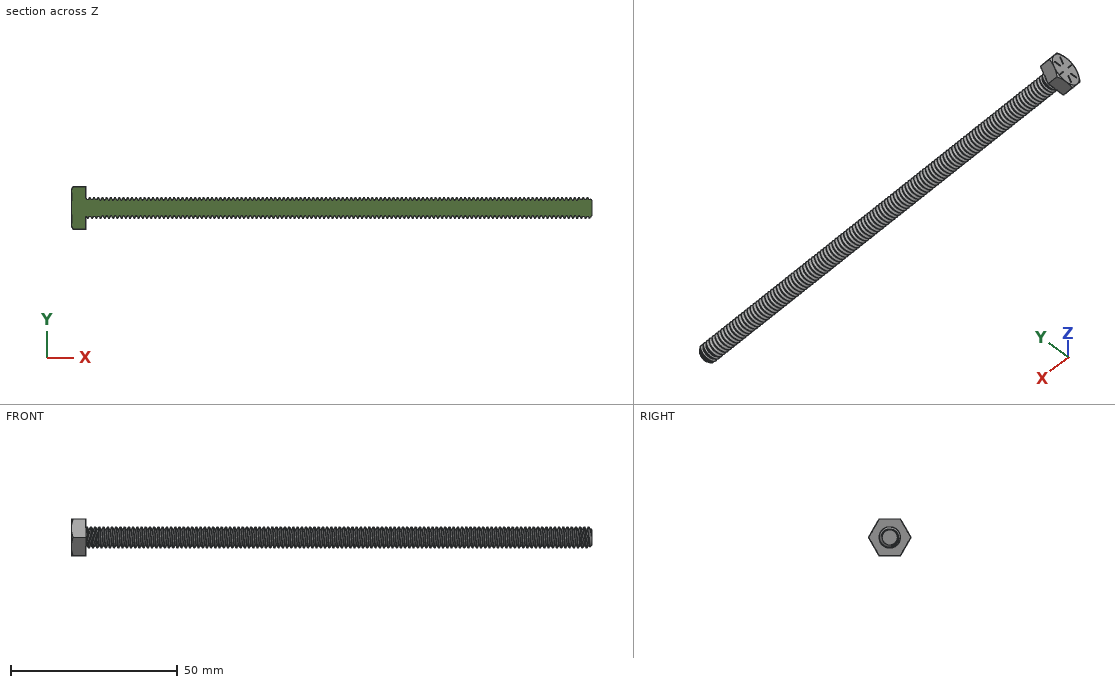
import cadquery as cq
import math

total_length = 156.8
head_height = 4.4
across_flats = 11.1

top_face_diameter = across_flats
head_chamfer_angle = 30.0

mark_count = 6
mark_inner_radius = 2.2
mark_outer_radius = 4.5
mark_width = 0.2
mark_depth = 0.2

major_diameter = 6.5
pitch = 1.27
flank_angle = 30.0
crest_width = pitch / 8
root_width = pitch / 12
thread_phase = 0.17
tip_chamfer = 1.0

core_diameter = 5.2
core_length = 3 * pitch

corner_radius = across_flats / 2 / math.cos(math.pi / 6)
major_radius = major_diameter / 2
core_radius = core_diameter / 2
flank_width = (pitch - crest_width - root_width) / 2
root_radius = major_radius - flank_width / math.tan(math.radians(flank_angle))

overlap = 0.8


def turned_body(outline):
    """Solid of revolution about the X axis from (x, radius) points."""
    return cq.Workplane("XY").polyline(outline).close().revolve(360, (0, 0, 0), (1, 0, 0))


def make_head():
    """Hexagonal head with corners on +Y and -Y, chamfered towards its top face."""
    hexagon = cq.Workplane("YZ").polygon(6, 2 * corner_radius).extrude(head_height)
    top_radius = top_face_diameter / 2
    chamfer_depth = (corner_radius - top_radius) * math.tan(math.radians(head_chamfer_angle))
    envelope = turned_body([
        (0, 0),
        (0, top_radius),
        (chamfer_depth, corner_radius),
        (head_height, corner_radius),
        (head_height, 0),
    ])
    return hexagon.intersect(envelope)


def make_grade_marks():
    """Thin radial slots evenly spaced around the top of the head."""
    middle_radius = (mark_inner_radius + mark_outer_radius) / 2
    return (
        cq.Workplane("YZ")
        .polarArray(middle_radius, 0, 360, mark_count)
        .rect(mark_outer_radius - mark_inner_radius, mark_width)
        .extrude(mark_depth)
    )


def helix_edge(radius, axial_start):
    """One right-handed turn around the Z axis."""
    turn = cq.Wire.makeHelix(pitch, pitch, radius)
    return turn.translate(cq.Vector(0, 0, axial_start)).Edges()[0]


def make_threaded_rod(turn_count):
    """Rod along Z whose thread is a stack of one-turn helical strips."""
    profile = [
        (root_radius, 0),
        (root_radius, root_width),
        (major_radius, root_width + flank_width),
        (major_radius, root_width + flank_width + crest_width),
        (root_radius, pitch),
    ]
    faces = []
    for turn in range(turn_count):
        helices = [helix_edge(radius, turn * pitch + axial) for radius, axial in profile]
        for lower, upper in zip(helices, helices[1:]):
            faces.append(cq.Face.makeRuledSurface(lower, upper))

    for end in (0, turn_count * pitch):
        bottom = cq.Vector(0, 0, end)
        top = cq.Vector(0, 0, end + pitch)
        ramp = cq.Face.makeRuledSurface(cq.Edge.makeLine(bottom, top), helix_edge(root_radius, end))
        step_edge = [cq.Vector(radius, 0, end + axial) for radius, axial in profile]
        step = cq.Face.makeFromWires(cq.Wire.makePolygon([bottom, *step_edge, top], close=True))
        faces += [ramp, step]
    return cq.Workplane(cq.Solid.makeSolid(cq.Shell.makeShell(faces)))


def make_shank():
    """Threaded rod along X, cored at both ends and trimmed to a chamfered tip."""
    rod_start = head_height + thread_phase - pitch
    turn_count = math.ceil((total_length - rod_start) / pitch)
    rod = make_threaded_rod(turn_count)
    rod = rod.rotate((0, 0, 0), (0, 1, 0), 90).translate((rod_start, 0, 0))

    shank_start = head_height - overlap
    tip_radius = major_radius - tip_chamfer
    trim_radius = major_radius + overlap
    trim = turned_body([
        (shank_start, 0),
        (shank_start, trim_radius),
        (total_length - tip_chamfer - overlap, trim_radius),
        (total_length, tip_radius),
        (total_length, 0),
    ])
    head_core = turned_body([
        (shank_start, 0),
        (shank_start, core_radius),
        (head_height + core_length, core_radius),
        (head_height + core_length, 0),
    ])
    tip_core = turned_body([
        (total_length - core_length, 0),
        (total_length - core_length, core_radius),
        (total_length - (core_radius - tip_radius), core_radius),
        (total_length, tip_radius),
        (total_length, 0),
    ])
    return rod.intersect(trim).union(head_core).union(tip_core)


head = make_head().cut(make_grade_marks())
result = head.union(make_shank()).solids()